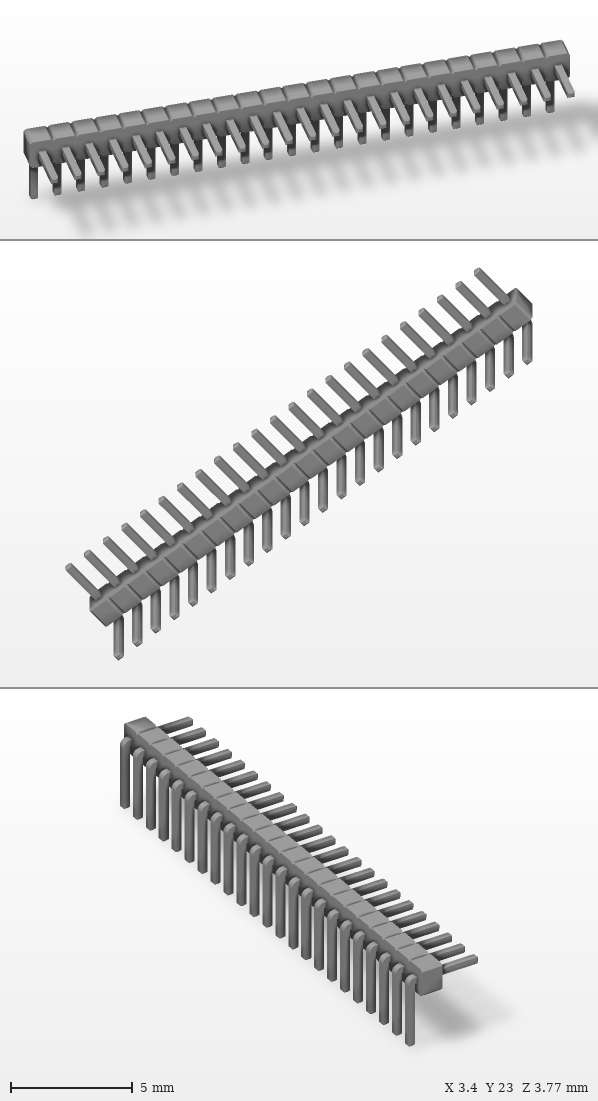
import cadquery as cq

pin_count = 23
row_length = 23.0
body_depth = 1.0
body_height = 1.29
segment_bevel = 0.101
pin_size = 0.3
pin_tip_bevel = 0.07
bend_radius = pin_size
overall_depth = 3.4
overall_height = 3.77
tail_offset = 0.41

pitch = row_length / pin_count
half_height = body_height / 2
half_pin = pin_size / 2
tail_bottom = half_height - overall_height


def segment_center(index):
    """Y position of one segment, with the row centred on Y = 0."""
    return (index - (pin_count - 1) / 2) * pitch


def make_segment():
    """One body segment, bevelled along its four X edges."""
    return (
        cq.Workplane("XY")
        .box(body_depth, pitch, body_height, centered=(False, True, True))
        .edges("|X")
        .chamfer(segment_bevel)
        .translate((tail_offset, 0, 0))
    )


def make_pin():
    """Square wire running along X through the body and bent down into a tail."""
    leg = (
        cq.Workplane("XY")
        .box(overall_depth, pin_size, pin_size, centered=(False, True, True))
        .faces(">X")
        .chamfer(pin_tip_bevel)
    )
    tail = (
        cq.Workplane("XY")
        .box(pin_size, pin_size, half_pin - tail_bottom, centered=(False, True, False))
        .translate((0, 0, tail_bottom))
        .faces("<Z")
        .chamfer(pin_tip_bevel)
    )
    wire = leg.union(tail)
    outer_corner = cq.selectors.NearestToPointSelector((0, 0, half_pin))
    return wire.edges(outer_corner).fillet(bend_radius)


unit = make_segment().union(make_pin())
result = unit.translate((0, segment_center(0), 0))
for index in range(1, pin_count):
    result = result.union(unit.translate((0, segment_center(index), 0)))